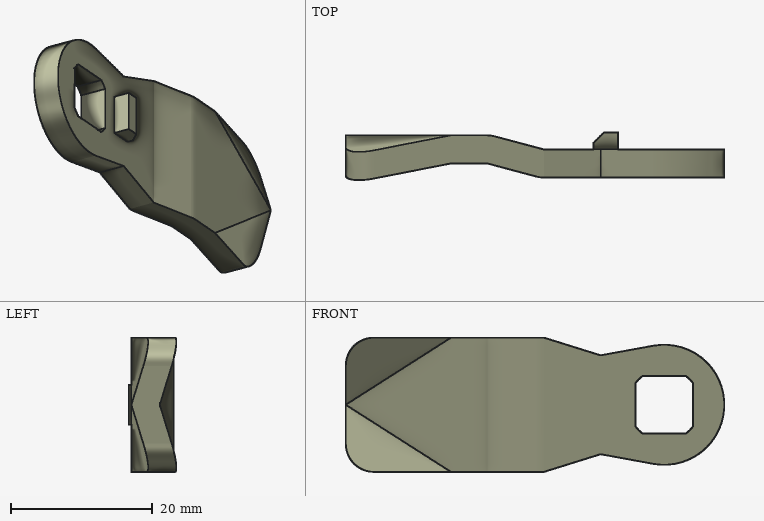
import cadquery as cq
import math

thickness = 4.0

head_radius = 8.5
tip_x = -45.0
half_height = 9.5
tip_corner_radius = 4.0
shoulder_x = -17.0
waist_x = -9.0
waist_half_height = 7.0

step_height = 2.0
step_start_x = shoulder_x
step_end_x = -25.0
step_top = step_height + thickness

fold_length = 14.9
fold_angle_deg = 20.0

hole_size = 8.1
hole_corner_diameter = 10.15

stop_outer_x = -10.0
stop_inner_x = -6.5
stop_width = 5.65
stop_height = 2.41
stop_bevel = 1.5

overrun = 10.0


def extrude_along_y(sketch_xz, y_start, y_end):
    """Extrude a sketch on the XZ plane (whose normal is -Y) between two Y levels."""
    return sketch_xz.extrude(y_start - y_end).translate((0, y_start, 0))


def outline_prism():
    """Full outline of the lever, deep enough to hold all the bends."""
    waist_distance = math.hypot(waist_x, waist_half_height)
    waist_angle = math.atan2(waist_half_height, waist_x)
    tangent_angle = waist_angle - math.acos(head_radius / waist_distance)
    tangent_x = head_radius * math.cos(tangent_angle)
    tangent_z = head_radius * math.sin(tangent_angle)
    sketch = (
        cq.Workplane("XZ")
        .moveTo(tip_x, -half_height)
        .lineTo(shoulder_x, -half_height)
        .lineTo(waist_x, -waist_half_height)
        .lineTo(tangent_x, -tangent_z)
        .threePointArc((head_radius, 0), (tangent_x, tangent_z))
        .lineTo(waist_x, waist_half_height)
        .lineTo(shoulder_x, half_height)
        .lineTo(tip_x, half_height)
        .close()
    )
    prism = extrude_along_y(sketch, -overrun, thickness + overrun)
    return prism.edges("|Y and <X").fillet(tip_corner_radius)


def bent_strip():
    """Joggled strip of constant thickness; each bend is sharp inside and round outside."""
    run = step_start_x - step_end_x
    inner_distance = math.hypot(run, step_height)
    angle = math.asin(thickness / inner_distance) - math.atan2(step_height, run)

    def on_bend(centre, direction, bend_angle):
        """Point on a bend arc around centre; direction is -1 at the low bend, 1 at the high bend."""
        x = centre[0] + direction * thickness * math.sin(bend_angle)
        y = centre[1] + direction * thickness * math.cos(bend_angle)
        return (x, y)

    inner_low = (step_start_x, thickness)
    inner_high = (step_end_x, step_height)
    return (
        cq.Workplane("XY")
        .moveTo(head_radius, 0)
        .lineTo(step_start_x, 0)
        .threePointArc(on_bend(inner_low, -1, angle / 2), on_bend(inner_low, -1, angle))
        .lineTo(*inner_high)
        .lineTo(tip_x, step_height)
        .lineTo(tip_x, step_top)
        .lineTo(step_end_x, step_top)
        .threePointArc(on_bend(inner_high, 1, angle / 2), on_bend(inner_high, 1, angle))
        .lineTo(*inner_low)
        .lineTo(head_radius, thickness)
        .close()
        .extrude(half_height, both=True)
    )


def fold_wing(strip):
    """Fold the upper tip corner of the strip towards -Y about its diagonal fold line."""
    drop_per_length = math.tan(math.radians(fold_angle_deg))
    fold_line_length = math.hypot(fold_length, half_height)
    low_drop = fold_line_length * drop_per_length

    section_plane = cq.Plane(
        origin=(tip_x, 0, 0),
        xDir=(-half_height, 0, fold_length),
        normal=(fold_length, 0, half_height),
    )
    flat_corner = (
        cq.Workplane(section_plane)
        .moveTo(0, overrun)
        .lineTo(0, -step_top - overrun)
        .lineTo(fold_line_length, -step_top - overrun)
        .lineTo(fold_line_length, overrun)
        .close()
        .extrude(fold_line_length)
    )
    wing = (
        cq.Workplane(section_plane)
        .moveTo(0, -step_top)
        .lineTo(fold_line_length, low_drop - step_top)
        .lineTo(fold_line_length, low_drop - step_height)
        .lineTo(0, -step_height)
        .close()
        .extrude(fold_line_length)
    )
    return strip.cut(flat_corner).union(wing)


def drive_hole():
    """Square through hole whose corners lie on a circle."""
    square = cq.Workplane("XZ").rect(hole_size, hole_size)
    circle = cq.Workplane("XZ").circle(hole_corner_diameter / 2)
    return extrude_along_y(square, -overrun, overrun).intersect(
        extrude_along_y(circle, -overrun, overrun)
    )


def stop_block():
    """Stop on the back face, bevelled at 45 degrees on the side facing the tip."""
    stop_top = thickness + stop_height
    return (
        cq.Workplane("XY")
        .moveTo(stop_outer_x, thickness)
        .lineTo(stop_inner_x, thickness)
        .lineTo(stop_inner_x, stop_top)
        .lineTo(stop_outer_x + stop_bevel, stop_top)
        .lineTo(stop_outer_x, stop_top - stop_bevel)
        .close()
        .extrude(stop_width / 2, both=True)
    )


lever = fold_wing(bent_strip())
lever = fold_wing(lever.mirror("XY")).mirror("XY")
lever = lever.intersect(outline_prism())
lever = lever.cut(drive_hole())
result = lever.union(stop_block())